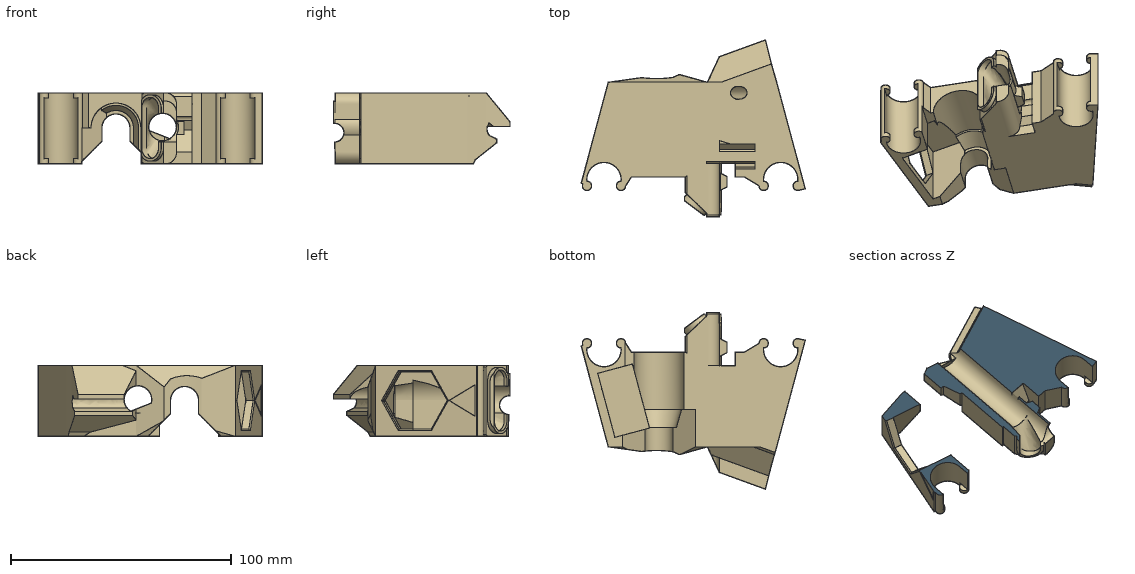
import cadquery as cq
import math

height = 32.2
mid_z = 16.3
side_tilt = 15.0
lean = math.tan(math.radians(side_tilt))

left_corner_y = 15.2
back_y = 61.0
front_y = 18.0
notch_y = 24.2
right_corner = (101.6, 12.6)
back_left_x = (back_y - left_corner_y) * lean
right_block_left = 69.8
right_block_front = 74.0

clip_left_x = 10.4
clip_right_x = 90.5
clip_y = 16.9
clip_radius = 7.7
lip_offset = 7.7
lip_y = 14.0
lip_radius = 2.1
lip_knob_length = 2.3
clip_leg_x = 22.8

nozzle_left = 47.2
nozzle_split = 56.9
nozzle_right = 62.7
tube_radius = 7.2
nozzle_shoulder_y = 11.0
nozzle_tip_y = 0.8
tip_pad_z = (18.3, 28.5)
nozzle_round = 5.1
edge_chamfer = 0.8
bore_x = 56.4
bore_z = 16.7
bore_radius = 6.2
nub_reach = 3.5
nub_base_y = (11.8, 20.0)
nub_tip_y = (13.5, 18.3)
nub_z = (13.2, 19.3)
ramp_left = (50.1, 15.2)
ramp_right = (59.8, 11.4)

mouth_center = (52.1, 5.7)
mouth_length = 27.6
mouth_width = 9.3
mouth_depth = 0.5
rim_length = 30.1
rim_width = 12.4
rim_reach = 3.0
rim_face = ((46.7, 7.3), (55.6, 0.7))
funnel_end_y = 16.3
tip_groove_y = 0.6
tip_groove_z = 14.1
tip_groove_radius = 4.2

arch_x = 35.3
arch_radius = 11.3
arch_chamfer = 1.0
throat_radius = 6.3
taper_end_radius = 7.9
arch_end_y = 44.0
throat_start_y = 52.2
flare_top_z = 10.3
pocket_left = 19.8
chamber_depth = 16.3
chamber_top = 29.5

hex_y = 43.2
hex_flats = 26.0
hex_depth = 4.1
hex_chamfer = 0.6

label_point_y = 27.6
label_base_y = 16.1
label_width = 14.2
label_depth = 0.3

hood_tilt = 20.0
hood_tip = (83.5, 80.2)
hood_left_tip = (62.6, 72.6)
hood_foot = (57.2, back_y)
crease_right = (86.3, 69.3)
back_right = (right_corner[0] - (back_y - right_corner[1]) * lean, back_y)
hood_overlap = 5.1

hood_crest_y = 68.3
upper_lip_z = (16.9, 19.0)
upper_lip_inner_y = 72.1
hood_groove = ((69.8, 18.5), (68.8, 16.2), (70.0, 12.8))
lower_lip_y = 73.6
lower_lip_z = (9.6, 11.3)
hood_heel = (63.0, 1.9)
hood_foot_y = 61.9
hood_root_y = 48.8

swell_right_x = 57.2
swell_top_y = 64.5
swell_peak_x = 44.5
swell_z = (7.1, 22.4)
swell_shoulder = (27.4, 63.1)
swell_hollow = ((36.1, 62.7), (41.7, 63.2))

oblique_x = 71.4
oblique_y = 56.2
oblique_radius = 2.9
oblique_length = 17.3
oblique_rise = 52.0
slot_right = 78.8
slot_left = 62.6
slot_y = (29.7, 33.0)
slot_corner = (67.6, 34.6)
slot_depth = 5.1
recess_front_y = 21.6
bevel = 0.8

cavity_top_z = 21.4
cavity_lip = 1.8
cavity_depth = 4.1
cavity_back_z = 15.2
cavity_bottom_z = 5.4


def box(x0, x1, y0, y1, z0, z1):
    block = cq.Workplane("XY").box(x1 - x0, y1 - y0, z1 - z0, centered=False)
    return block.translate((x0, y0, z0))


def plate(points, z0=0.0, z1=height):
    return cq.Workplane("XY").workplane(offset=z0).polyline(points).close().extrude(z1 - z0)


def rod_z(x, y, radius):
    return cq.Workplane("XY").center(x, y).circle(radius).extrude(height)


def rod_x(y, z, radius, x0, x1):
    return cq.Workplane("YZ").workplane(offset=x0).center(y, z).circle(radius).extrude(x1 - x0)


def rod_y(x, z, radius, y0, y1):
    return cq.Workplane("XZ").workplane(offset=-y0).center(x, z).circle(radius).extrude(y0 - y1)


def main_body():
    outline = [
        (0, left_corner_y),
        (clip_left_x - lip_offset, lip_y),
        (clip_left_x + lip_offset, lip_y),
        (clip_left_x + lip_offset + lip_radius / 2, lip_y - lip_radius * 0.8),
        (clip_leg_x, front_y),
        (nozzle_left, front_y),
        (nozzle_split, notch_y),
        (right_block_left, notch_y),
        (right_block_left, front_y),
        (right_block_front, front_y),
        (clip_right_x - lip_offset - lip_radius, lip_y),
        (clip_right_x + lip_offset, lip_y),
        (clip_right_x + lip_offset, lip_y - lip_radius),
        right_corner,
        back_right,
        (back_left_x, back_y),
    ]
    return plate(outline)


def add_clip(body, x):
    """Round tube seat held by two lips that are knobbed only at their ends."""
    opening = lip_offset - lip_radius
    body = body.cut(rod_z(x, clip_y, clip_radius))
    body = body.cut(box(x - opening, x + opening, 0, clip_y, 0, height))
    for side in (-1, 1):
        body = body.union(rod_z(x + side * lip_offset, lip_y, lip_radius))
    relief_top = height - lip_knob_length
    return body.cut(box(x - clip_radius, x + clip_radius, 0, clip_y, lip_knob_length, relief_top))


def hood():
    """Grooved wedge whose side profile runs along a line turned from X by the hood tilt."""
    sweep = 40.7
    overrun = 8.1
    rise = math.tan(math.radians(hood_tilt))
    profile = (
        cq.Workplane("YZ")
        .moveTo(hood_crest_y, height)
        .lineTo(hood_tip[1], upper_lip_z[1])
        .lineTo(hood_tip[1], upper_lip_z[0])
        .lineTo(upper_lip_inner_y, upper_lip_z[0])
        .lineTo(*hood_groove[0])
        .threePointArc(*hood_groove[1:])
        .lineTo(lower_lip_y, lower_lip_z[1])
        .lineTo(lower_lip_y, lower_lip_z[0])
        .lineTo(*hood_heel)
        .lineTo(hood_foot_y, 0)
        .lineTo(hood_root_y, 0)
        .lineTo(hood_root_y, height)
        .close()
        .extrude(sweep + overrun)
        .translate((-sweep, 0, 0))
    )
    skew = cq.Matrix([[1, 0, 0, 0], [rise, 1, 0, 0], [0, 0, 1, 0]])
    wedge = profile.val().transformGeometry(skew).translate(cq.Vector(hood_tip[0], 0, 0))
    footprint = plate([
        hood_foot, hood_left_tip, hood_tip, crease_right, back_right,
        (back_right[0], back_y - hood_overlap), (hood_foot[0], back_y - hood_overlap),
    ])
    return footprint.intersect(cq.Workplane(obj=wedge))


def swelling():
    plan = (
        cq.Workplane("XY")
        .moveTo(back_left_x, back_y)
        .lineTo(*swell_shoulder)
        .threePointArc(*swell_hollow)
        .lineTo(swell_peak_x, swell_top_y)
        .lineTo(swell_right_x, back_y)
        .close()
        .extrude(height)
    )
    side = [(back_y, 0), (swell_top_y, swell_z[0]), (swell_top_y, swell_z[1]), (back_y, height)]
    return plan.intersect(cq.Workplane("YZ").polyline(side).close().extrude(right_corner[0]))


def slanted_plane(shift=0.0):
    """Plane parallel to the slanted nozzle face; positive shift is outward."""
    step = shift * math.sqrt(0.5)
    origin = (mouth_center[0] - step, mouth_center[1] - step, mid_z)
    return cq.Plane(origin=origin, xDir=(1, -1, 0), normal=(-1, -1, 0))


def nozzle():
    left = plate([
        (nozzle_left, front_y + 1),
        (nozzle_left, nozzle_shoulder_y),
        (nozzle_split, nozzle_tip_y + edge_chamfer),
        (nozzle_split, notch_y),
        (nozzle_left, notch_y),
    ])
    left = left.faces("<X").edges("|Y").chamfer(edge_chamfer)
    right = box(nozzle_split, nozzle_right, nozzle_tip_y, notch_y, 0, height)
    right = right.edges("|Y and >X").fillet(nozzle_round)
    rim = cq.Workplane(slanted_plane(-1)).slot2D(rim_length, rim_width, 90).extrude(rim_reach + 1)
    rim = rim.intersect(plate([rim_face[0], rim_face[1], (58.9, 0), (58.9, 12.2), (46.7, 16.3)]))
    tube = rod_y(bore_x, bore_z, tube_radius, nozzle_tip_y, notch_y)
    tube = tube.intersect(box(nozzle_split, nozzle_right + tube_radius, 0, notch_y, 0, height))
    tip_pad = box(nozzle_split, nozzle_right, 0, nozzle_tip_y, *tip_pad_z)
    tip_pad = tip_pad.edges("|Y and >X and >Z").fillet(nozzle_round)
    nub_tip = nozzle_right + nub_reach
    nub = plate([
        (nozzle_split + nozzle_round, nub_base_y[0]),
        (nozzle_right, nub_base_y[0]),
        (nub_tip, nub_tip_y[0]),
        (nub_tip, nub_tip_y[1]),
        (nozzle_right, nub_base_y[1]),
        (nozzle_split + nozzle_round, nub_base_y[1]),
    ], *nub_z)
    return left.union(right).union(tube).union(tip_pad).union(rim).union(nub)


def nozzle_passages():
    opening_plane = slanted_plane(-mouth_depth)
    mouth = cq.Workplane(opening_plane).slot2D(mouth_length, mouth_width, 90).extrude(rim_reach + 2)
    mouth_wire = cq.Workplane(opening_plane).slot2D(mouth_length, mouth_width, 90).wires().val()
    bore_center = cq.Vector(bore_x, funnel_end_y, bore_z)
    bore_wire = cq.Wire.makeCircle(bore_radius, bore_center, cq.Vector(0, -1, 0))
    funnel = cq.Workplane(obj=cq.Solid.makeLoft([mouth_wire, bore_wire]))
    ramp_start = ramp_left[0] - 1
    ramp = (
        cq.Workplane("XZ").workplane(offset=-back_y)
        .polyline([ramp_left, ramp_right, (ramp_right[0], 0), (ramp_start, 0), (ramp_start, ramp_left[1])])
        .close().extrude(back_y - hood_tip[1] - 1)
    )
    bore = rod_y(bore_x, bore_z, bore_radius, -1, hood_tip[1]).cut(ramp)
    groove = rod_x(tip_groove_y, tip_groove_z, tip_groove_radius, nozzle_left, nozzle_right + 1)
    return [mouth, funnel, bore, groove]


def arch(radius, y0):
    """Closed sketch of an upright arch standing on the underside."""
    return (
        cq.Workplane("XZ").workplane(offset=-y0)
        .moveTo(arch_x - radius, 0)
        .lineTo(arch_x - radius, mid_z)
        .threePointArc((arch_x, mid_z + radius), (arch_x + radius, mid_z))
        .lineTo(arch_x + radius, 0)
        .close()
    )


def arch_passages():
    inner_radius = arch_radius - arch_chamfer
    hall = arch(arch_radius, 0).extrude(-arch_end_y)
    start = arch(inner_radius, arch_end_y).wires().val()
    end = arch(taper_end_radius, throat_start_y).wires().val()
    taper = cq.Workplane(obj=cq.Solid.makeLoft([start, end], True))
    throat_length = swell_top_y + 1 - arch_end_y
    throat = arch(throat_radius, arch_end_y).extrude(-throat_length)
    pocket = box(pocket_left, arch_x, 0, arch_end_y, 0, mid_z)
    spread = throat_radius + flare_top_z
    flare = (
        cq.Workplane("XZ").workplane(offset=-arch_end_y)
        .polyline([
            (arch_x - spread, 0), (arch_x - throat_radius, flare_top_z),
            (arch_x + throat_radius, flare_top_z), (arch_x + spread, 0),
        ]).close().extrude(-throat_length)
    )
    return [hall, taper, throat, pocket, flare]


def wall_plane(y):
    tilt = math.radians(side_tilt)
    origin = ((y - left_corner_y) * lean, y, mid_z)
    return cq.Plane(origin=origin, xDir=(math.sin(tilt), math.cos(tilt), 0),
                    normal=(math.cos(tilt), -math.sin(tilt), 0))


def left_wall_cuts():
    across_corners = hex_flats / math.cos(math.pi / 6)
    flared = across_corners + 2 * hex_chamfer
    window = cq.Workplane(wall_plane(hex_y)).polygon(6, across_corners).extrude(hex_depth)
    rim = (
        cq.Workplane(wall_plane(hex_y)).polygon(6, flared)
        .workplane(offset=hex_chamfer).polygon(6, across_corners).loft()
    )
    stretch = 1 / math.cos(math.radians(side_tilt))
    label_length = (label_point_y - label_base_y) * stretch
    label = (
        cq.Workplane(wall_plane(label_base_y))
        .polyline([(0, -label_width / 2), (label_length, 0), (0, label_width / 2)])
        .close().extrude(label_depth)
    )
    chamber = (
        cq.Workplane(wall_plane(hex_y)).workplane(offset=hex_depth)
        .rect(across_corners, 2 * height).extrude(chamber_depth)
        .intersect(box(0, arch_x, 0, back_y, 0, chamber_top))
    )
    return [window, rim, chamber, label]


def top_cuts():
    rise = math.radians(oblique_rise)
    axis = cq.Plane(origin=(oblique_x, oblique_y, height), xDir=(0, 1, 0),
                    normal=(-math.cos(rise), 0, -math.sin(rise)))
    hole = cq.Workplane(axis).circle(oblique_radius).extrude(oblique_length, both=True)
    back = slot_y[1]
    front = slot_y[0] + bevel
    slot = (
        cq.Workplane("YZ").workplane(offset=slot_left)
        .polyline([(slot_y[0], height), (front, height - bevel), (front, height - slot_depth),
                   (back, height - bevel), (back, height)])
        .close().extrude(slot_right - slot_left)
    )
    corner = plate([(slot_left, back), (slot_left, slot_corner[1]), (slot_corner[0], back)], height - bevel)
    recess_back = notch_y + bevel
    floor = height - slot_depth
    recess = (
        cq.Workplane("YZ").workplane(offset=right_block_left)
        .polyline([
            (recess_front_y, height), (recess_front_y + bevel, floor),
            (notch_y, floor), (recess_back, height),
        ])
        .close().extrude(slot_right - right_block_left)
    )
    notch_bevel = (
        cq.Workplane("YZ").workplane(offset=nozzle_split)
        .polyline([(notch_y, height), (recess_back, height), (notch_y, height - 2 * bevel)])
        .close().extrude(slot_right - nozzle_split)
    )
    return [hole, slot, corner, recess, notch_bevel]


def notch_cavity():
    """Pocket in the back of the notch with a rounded lip above and a sloping floor."""
    lip_bottom_z = cavity_top_z - cavity_lip
    lip_middle = cavity_lip * math.sin(math.pi / 4)
    return (
        cq.Workplane("YZ").workplane(offset=nozzle_right)
        .moveTo(notch_y, cavity_top_z)
        .threePointArc((notch_y + lip_middle, lip_bottom_z + lip_middle), (notch_y + cavity_lip, lip_bottom_z))
        .lineTo(notch_y + cavity_depth, cavity_back_z)
        .lineTo(notch_y, cavity_bottom_z)
        .close()
        .extrude(right_block_left - nozzle_right)
    )


result = main_body()
result = result.union(hood()).union(swelling())
for clip_x in (clip_left_x, clip_right_x):
    result = add_clip(result, clip_x)
result = result.union(nozzle())
for tool in nozzle_passages() + arch_passages() + left_wall_cuts() + top_cuts() + [notch_cavity()]:
    result = result.cut(tool)